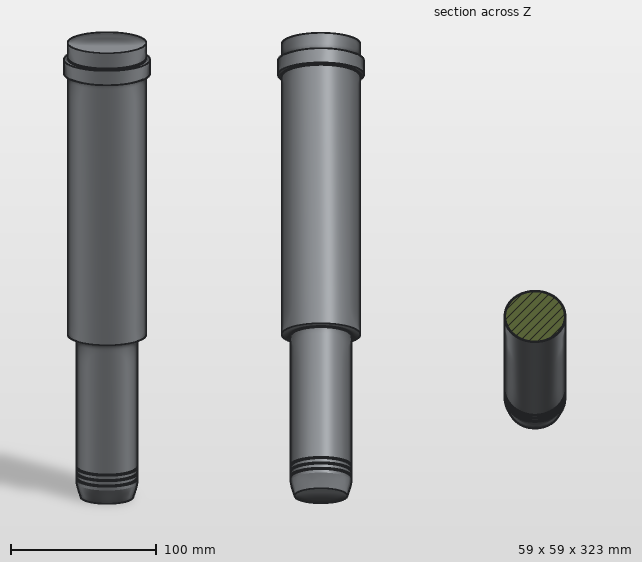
import cadquery as cq

total_length = 323.0
head_diameter = 54.0
collar_diameter = 59.0
stem_diameter = 42.0
tip_diameter = 36.2

tip_height = 10.3
step_height = 115.3
collar_bottom = 301.0
collar_top = 311.0

groove_count = 3
groove_width = 1.0
groove_depth = 0.5
groove_pitch = 4.0
first_groove_height = 13.0

tip_bulge = 0.3


def cylinder(diameter, bottom, top):
    """Cylinder about the Z axis between two heights."""
    return cq.Workplane("XY").workplane(offset=bottom).circle(diameter / 2).extrude(top - bottom)


def rounded_tip():
    """Tip that narrows towards its flat end along a slightly convex arc."""
    stem_radius = stem_diameter / 2
    tip_radius = tip_diameter / 2
    middle_radius = (stem_radius + tip_radius) / 2 + tip_bulge
    return (
        cq.Workplane("XZ")
        .lineTo(tip_radius, 0)
        .threePointArc((middle_radius, tip_height / 2), (stem_radius, tip_height))
        .lineTo(0, tip_height)
        .close()
        .revolve(360, (0, 0, 0), (0, 1, 0))
    )


def ring_groove(diameter, bottom):
    """Ring cut into a cylindrical surface of the given diameter."""
    top = bottom + groove_width
    core = cylinder(diameter - 2 * groove_depth, bottom, top)
    return cylinder(collar_diameter, bottom, top).cut(core)


result = rounded_tip()
result = result.union(cylinder(stem_diameter, tip_height, step_height))
result = result.union(cylinder(head_diameter, step_height, total_length))
result = result.union(cylinder(collar_diameter, collar_bottom, collar_top))

result = result.cut(ring_groove(head_diameter, collar_top))
result = result.cut(ring_groove(head_diameter, collar_bottom - groove_width))
result = result.cut(ring_groove(stem_diameter, step_height - groove_width))

for index in range(groove_count):
    result = result.cut(ring_groove(stem_diameter, first_groove_height + index * groove_pitch))